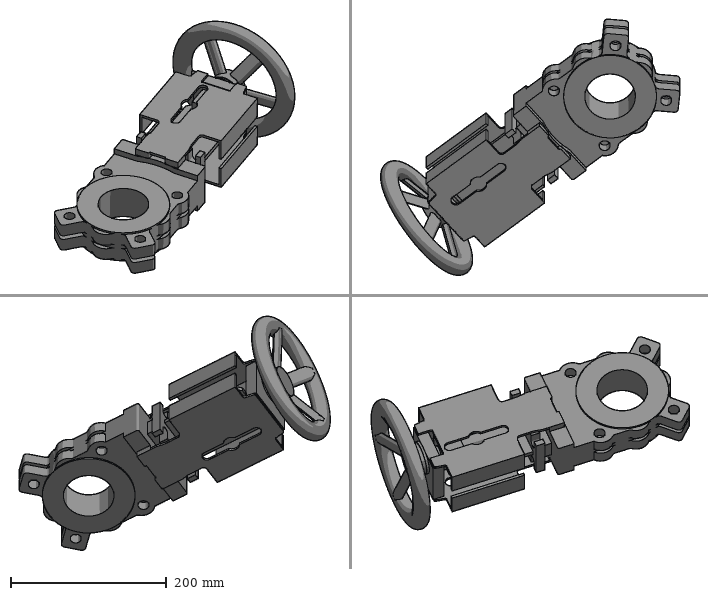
import cadquery as cq
import math


bore_diameter = 65.0
face_diameter = 119.4
face_to_face = 46.0
body_thickness = 41.0
body_width = 121.0
body_end_y = 112.3
head_start_y = 89.9
head_thickness = 57.5
head_relief_radius = 93.8
head_corner_radius = 2.5

bolt_circle_radius = 72.5
bolt_hole_diameter = 14.0
blind_hole_depth = 15.0
rib_gap = 5.8
boss_radius = 17.5
bolt_boss_center = 49.3
rim_boss_reach = 65.5
lug_width = 32.0
lug_end_radius = 89.2
lug_corner_radius = 5.0
root_fillet = 6.0

neck_width = 76.6
neck_thickness = 25.0
gland_start_y = 124.8
gland_end_y = 136.9
gland_width = 93.0
gland_height = 58.6
gland_slot_x = 34.0
gland_slot_width = 10.6
gland_slot_bottom_z = 12.5

gate_width = 71.4
gate_thickness = 6.0
gate_end_y = 249.2
gate_corner = 8.8
spindle_z = 14.0
spindle_diameter = 18.0
spindle_tip_y = 141.0
spindle_chamfer = 2.0
nut_width = 35.4
nut_start_y = 223.5
nut_end_y = 253.3
nut_bottom_z = -2.3
nut_top_z = 28.0

yoke_start_y = 259.5
yoke_end_y = 274.8
yoke_size = 69.0

cover_thickness = 3.5
cover_outer_z = 38.1
cover_width = 118.4
cover_start_y = 91.9
cover_recess = 2.7
cover_shoulder_y = 157.8
cover_back_y = 257.9
cover_end_y = 273.4
cover_flange_depth = 30.3
cover_neck_half = 29.0
cover_foot_half = 31.0
cover_foot_y = 122.0
cover_taper_y = 133.0
cover_neck_fillet = 5.0
cover_tail_half = 35.7
cover_tail_root_half = 38.2
cover_corner_radius = 2.0
tail_root_fillet = 2.5
tail_notch_width = 41.6
tail_notch_y = 254.4
upper_window_x = -12.5
lower_window_x = -16.0
window_width = 12.8
window_start_y = 162.4
window_end_y = 250.0
window_eye_diameter = 21.0
foot_inner_half = 11.2

wheel_radius = 87.5
rim_thickness = 20.0
rim_flat = 5.0
wheel_end_y = 388.16 - ((lug_end_radius + lug_width / 2 - 2 * lug_corner_radius) / math.sqrt(2) + lug_corner_radius)
hub_diameter = 41.7
hub_end_y = 297.5
collar_diameter = 43.8
collar_end_y = 278.3
spoke_count = 5
spoke_width = 20.0
spoke_thickness = 7.5
spoke_flat = 3.4
spoke_inner_radius = 12.0
spoke_inner_y = 288.0
spoke_outer_radius = 70.0
spoke_outer_y = 311.5


def block(x_min, x_max, y_min, y_max, z_min, z_max):
    size = (x_max - x_min, y_max - y_min, z_max - z_min)
    return cq.Workplane("XY").box(*size, centered=False).translate((x_min, y_min, z_min))


def centered_block(width, y_min, y_max, height, z_mid=0.0):
    return block(-width / 2, width / 2, y_min, y_max, z_mid - height / 2, z_mid + height / 2)


def z_disc(diameter, z_min, z_max, x=0.0, y=0.0):
    return cq.Workplane("XY", origin=(x, y, z_min)).circle(diameter / 2).extrude(z_max - z_min)


def spindle_disc(diameter, y_min, y_max):
    """Cylinder on the spindle axis between two Y positions."""
    plane = cq.Workplane("XZ", origin=(0, y_max, spindle_z))
    return plane.circle(diameter / 2).extrude(y_max - y_min)


def both_sides(upper):
    return upper.union(upper.mirror("XY"))


def body_core(thickness):
    half = thickness / 2
    core = z_disc(face_diameter, -half, half)
    return core.union(centered_block(body_width, 0, body_end_y, thickness))


def lug(angle, z_min, z_max):
    """Square bolting lug pointing away from the bore at the given angle."""
    arm = block(0, lug_end_radius, -lug_width / 2, lug_width / 2, z_min, z_max)
    arm = arm.edges("|Z and >X").fillet(lug_corner_radius)
    return arm.rotate((0, 0, 0), (0, 0, 1), angle)


def bossed_outline():
    """Body slab with all bosses and lugs, their roots filleted."""
    half = body_thickness / 2
    slab = body_core(body_thickness)
    for side in (-1, 1):
        center_x = side * bolt_boss_center
        slab = slab.union(z_disc(2 * boss_radius, -half, half, center_x, bolt_boss_center))
    rim_boss_offset = rim_boss_reach - boss_radius
    for x, y in ((-1, 0), (1, 0), (0, -1)):
        boss = z_disc(2 * boss_radius, -half, half, x * rim_boss_offset, y * rim_boss_offset)
        slab = slab.union(boss)
    for angle in (-135, -45):
        slab = slab.union(lug(angle, -half, half))
    lug_tip = lug_end_radius - lug_corner_radius - 1
    roots = slab.edges("|Z").filter(
        lambda edge: math.hypot(edge.Center().x, edge.Center().y) < lug_tip
    )
    slab = slab.newObject(roots.vals()).fillet(root_fillet)
    return slab.edges("|Z and >Y").fillet(head_corner_radius)


def boss_gap():
    """Middle layer outside the body core, where the bosses and lugs are split."""
    reach = 2 * lug_end_radius
    around = centered_block(2 * reach, -reach, head_start_y - 1, rib_gap)
    return around.cut(body_core(rib_gap))


def head_pad():
    """Raised pad on the upper face that carries a cover, relieved around the bore."""
    pad_height = (head_thickness - body_thickness) / 2
    pad_mid = (head_thickness + body_thickness) / 4
    pad = centered_block(body_width, head_start_y, body_end_y, pad_height, pad_mid)
    pad = pad.edges("|Z and >Y").fillet(head_corner_radius)
    return pad.cut(z_disc(2 * head_relief_radius, body_thickness / 2, head_thickness / 2))


def bolt_holes(body):
    bolt_xy = bolt_circle_radius / math.sqrt(2)
    half = body_thickness / 2
    for side in (-1, 1):
        body = body.cut(z_disc(bolt_hole_diameter, -half, half, side * bolt_xy, -bolt_xy))
        blind = z_disc(bolt_hole_diameter, half - blind_hole_depth, half, side * bolt_xy, bolt_xy)
        body = body.cut(both_sides(blind))
    return body


def valve_body():
    face = z_disc(face_diameter, -face_to_face / 2, face_to_face / 2)
    body = bossed_outline().cut(boss_gap()).union(face).union(both_sides(head_pad()))
    body = body.cut(z_disc(bore_diameter, -face_to_face / 2, face_to_face / 2))
    return bolt_holes(body)


def gland():
    """Packing neck and the gland plate with its open bolt slots."""
    neck = centered_block(neck_width, body_end_y, gland_start_y, neck_thickness)
    plate = centered_block(gland_width, gland_start_y, gland_end_y, gland_height)
    slot_radius = gland_slot_width / 2
    slot_end_z = gland_height / 2 + slot_radius
    slot_length = slot_end_z - gland_slot_bottom_z
    for side in (-1, 1):
        plane = cq.Workplane("XZ", origin=(side * gland_slot_x, gland_end_y, 0))
        slot = plane.center(0, gland_slot_bottom_z + slot_length / 2)
        slot = slot.slot2D(slot_length, gland_slot_width, 90).extrude(gland_end_y - gland_start_y)
        plate = plate.cut(both_sides(slot))
    return neck.union(plate)


def gate_and_spindle():
    gate = centered_block(gate_width, body_end_y, gate_end_y, gate_thickness)
    gate = gate.edges("|Z and >Y").chamfer(gate_corner)
    spindle = spindle_disc(spindle_diameter, spindle_tip_y, yoke_end_y)
    spindle = spindle.faces("<Y").chamfer(spindle_chamfer)
    nut = block(-nut_width / 2, nut_width / 2, nut_start_y, nut_end_y, nut_bottom_z, nut_top_z)
    return gate.union(spindle).union(nut)


def cover_outline():
    """Right half of the cover plate outline, from the foot to the tail."""
    return [
        (0, cover_start_y + cover_recess),
        (cover_foot_half, cover_start_y + cover_recess),
        (cover_foot_half, cover_foot_y),
        (cover_neck_half, cover_taper_y),
        (cover_neck_half, cover_shoulder_y),
        (cover_width / 2, cover_shoulder_y),
        (cover_width / 2, cover_back_y),
        (cover_tail_root_half, cover_back_y),
        (cover_tail_half, cover_end_y),
        (0, cover_end_y),
    ]


def cover_window(window_x, z_min, depth):
    length = window_end_y - window_start_y
    middle = (window_end_y + window_start_y) / 2
    plane = cq.Workplane("XY", origin=(window_x, middle, z_min))
    return plane.slot2D(length, window_width, 90).extrude(depth).union(
        z_disc(window_eye_diameter, z_min, z_min + depth, window_x, middle)
    )


def cover(window_x, tail_is_notched):
    """Upper guard cover: windowed plate, two side flanges and two feet on the body head."""
    plate_z = cover_outer_z - cover_thickness
    half_plate = cq.Workplane("XY", origin=(0, 0, plate_z)).polyline(cover_outline()).close()
    half_plate = half_plate.extrude(cover_thickness)
    for corner, radius in (
        ((cover_tail_half, cover_end_y), cover_corner_radius),
        ((cover_neck_half, cover_shoulder_y), cover_neck_fillet),
        ((cover_tail_root_half, cover_back_y), tail_root_fillet),
    ):
        nearest = cq.selectors.NearestToPointSelector((*corner, plate_z + cover_thickness / 2))
        half_plate = half_plate.edges(nearest).fillet(radius)
    plate = half_plate.union(half_plate.mirror("YZ")).cut(cover_window(window_x, plate_z, cover_thickness))
    if tail_is_notched:
        notch = centered_block(tail_notch_width, tail_notch_y, cover_end_y, 2 * cover_outer_z)
        plate = plate.cut(notch.edges("|Z and <Y").fillet(cover_corner_radius))
    for side in (-1, 1):
        flange_mid = side * (cover_width - cover_thickness) / 2
        flange = centered_block(
            cover_thickness,
            cover_shoulder_y,
            cover_back_y,
            cover_flange_depth,
            cover_outer_z - cover_flange_depth / 2,
        ).translate((flange_mid, 0, 0))
        foot = block(
            foot_inner_half, cover_foot_half, cover_start_y, body_end_y, head_thickness / 2, cover_outer_z
        )
        foot = foot.edges("<X and <Y").fillet(cover_recess * 0.95)
        if side < 0:
            foot = foot.mirror("YZ")
        plate = plate.union(flange).union(foot)
    return plate


def handwheel_rim():
    """Rim with a flattened round section, revolved about the spindle axis."""
    arc_radius = rim_thickness / 2
    section_mid = wheel_radius - arc_radius - rim_flat / 2
    width = rim_flat + rim_thickness
    section = cq.Workplane("XY").center(section_mid, wheel_end_y - arc_radius)
    rim = section.slot2D(width, rim_thickness).revolve(
        360, (-section_mid, 0), (-section_mid, 1)
    )
    return rim.translate((0, 0, spindle_z))


def spoke(angle):
    """Straight inclined spoke; the angle is measured from -Z about the spindle axis."""
    run = spoke_outer_radius - spoke_inner_radius
    rise = spoke_outer_y - spoke_inner_y
    plane = cq.Plane(
        origin=(0, spoke_inner_y, spindle_z - spoke_inner_radius),
        xDir=(1, 0, 0),
        normal=(0, rise, -run),
    )
    flat = spoke_flat / 2
    half_width = spoke_width / 2
    half_thickness = spoke_thickness / 2
    diagonal = math.sqrt(0.5)
    bulge = (flat + (half_width - flat) * diagonal, half_thickness * diagonal)
    arm = (
        cq.Workplane(plane)
        .moveTo(-flat, -half_thickness)
        .lineTo(flat, -half_thickness)
        .threePointArc((bulge[0], -bulge[1]), (half_width, 0))
        .threePointArc(bulge, (flat, half_thickness))
        .lineTo(-flat, half_thickness)
        .threePointArc((-bulge[0], bulge[1]), (-half_width, 0))
        .threePointArc((-bulge[0], -bulge[1]), (-flat, -half_thickness))
        .close()
        .extrude(math.hypot(run, rise))
    )
    return arm.rotate((0, 0, spindle_z), (0, 1, spindle_z), angle)


def handwheel():
    wheel = handwheel_rim()
    for index in range(spoke_count):
        wheel = wheel.union(spoke(index * 360 / spoke_count))
    wheel = wheel.union(spindle_disc(hub_diameter, yoke_end_y, hub_end_y))
    return wheel.union(spindle_disc(collar_diameter, yoke_end_y, collar_end_y))


yoke = centered_block(yoke_size, yoke_start_y, yoke_end_y, yoke_size)

result = (
    valve_body()
    .union(gland())
    .union(gate_and_spindle())
    .union(yoke)
    .union(cover(upper_window_x, True))
    .union(cover(lower_window_x, False).mirror("XY"))
    .union(handwheel())
)